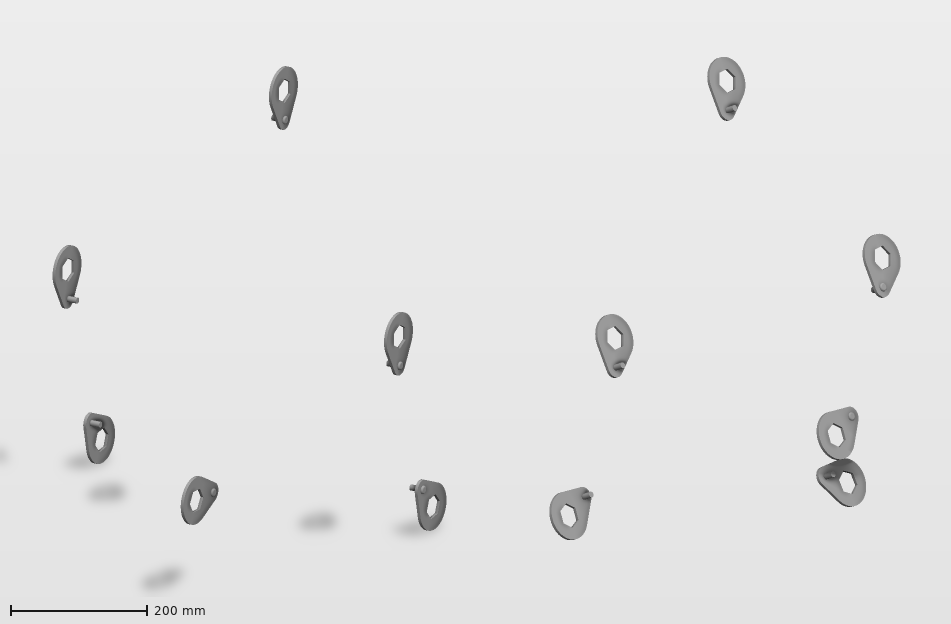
import cadquery as cq
import math

OVERALL_X = 585.5
OVERALL_Y = 500.0
OVERALL_Z = 743.0

PLATE_THICKNESS = 4.8
LEVER_LENGTH = 96.0
LARGE_RADIUS = 72.0 / 2
SMALL_RADIUS = 30.0 / 2
PIN_OFFSET = LEVER_LENGTH - LARGE_RADIUS - SMALL_RADIUS
HEX_ACROSS_FLATS = 32.0
HEX_ACROSS_CORNERS = HEX_ACROSS_FLATS / math.cos(math.radians(30))

LEVER_DEPTH = 24.0
PIN_DIAMETER = 9.0
HEAD_DIAMETER = 13.0
HEAD_HEIGHT = 3.0
HEAD_FILLET = 2.45
PIN_LENGTH = LEVER_DEPTH - HEAD_HEIGHT - PLATE_THICKNESS

OUTER_PLATE_X = OVERALL_X / 2 - HEAD_HEIGHT
INNER_PLATE_X = 149.5

EDGE_Y = OVERALL_Y / 2 - LARGE_RADIUS
EDGE_Z = OVERALL_Z / 2 - LARGE_RADIUS
UPPER_OUTER_Y = 122.0
UPPER_OUTER_Z = -46.0
TOP_INNER_Y = 28.0
LOW_INNER_Z = -230.0

PIN_DOWN = 0
PIN_TOWARDS_PLUS_Y = -90
PIN_UP_TILTED = 140


def lever_outline():
    """Teardrop outline with the small end below the origin."""
    tangent_sine = (LARGE_RADIUS - SMALL_RADIUS) / PIN_OFFSET
    tangent_cosine = math.sqrt(1 - tangent_sine**2)
    large_x = LARGE_RADIUS * tangent_cosine
    large_y = -LARGE_RADIUS * tangent_sine
    small_x = SMALL_RADIUS * tangent_cosine
    small_y = -PIN_OFFSET - SMALL_RADIUS * tangent_sine
    return (
        cq.Workplane("XY")
        .moveTo(large_x, large_y)
        .threePointArc((0, LARGE_RADIUS), (-large_x, large_y))
        .lineTo(-small_x, small_y)
        .threePointArc((0, -PIN_OFFSET - SMALL_RADIUS), (small_x, small_y))
        .close()
    )


def disk(diameter, bottom, height):
    """Round bar on the pin axis, rising from the given level."""
    return (
        cq.Workplane("XY", origin=(0, -PIN_OFFSET, bottom))
        .circle(diameter / 2)
        .extrude(height)
    )


def make_lever():
    """Lever with its head-side face at z = 0 and its pin rising towards +Z."""
    plate = lever_outline().extrude(PLATE_THICKNESS)
    hexagon = (
        cq.Workplane("XY")
        .polygon(6, HEX_ACROSS_CORNERS)
        .extrude(PLATE_THICKNESS)
        .rotate((0, 0, 0), (0, 0, 1), 90)
    )
    pin = disk(PIN_DIAMETER, PLATE_THICKNESS, PIN_LENGTH)
    head = disk(HEAD_DIAMETER, -HEAD_HEIGHT, HEAD_HEIGHT)
    rounded_head = head.edges("<Z").fillet(HEAD_FILLET)
    return plate.cut(hexagon).union(pin).union(rounded_head)


def place_lever(side, plate_x, y, z, pin_turn):
    """Stand a lever upright with its head facing outwards: side is +1 for +X, -1 for -X."""
    upright = make_lever().rotate((0, 0, 0), (1, 0, 0), 90)
    facing = upright.rotate((0, 0, 0), (0, 0, 1), -side * 90)
    turned = facing.rotate((0, 0, 0), (1, 0, 0), -pin_turn)
    return turned.translate((side * plate_x, y, z)).val()


outer_levers = []
for side in (-1, 1):
    outer_levers.append(place_lever(side, OUTER_PLATE_X, UPPER_OUTER_Y, UPPER_OUTER_Z, PIN_DOWN))
    outer_levers.append(place_lever(side, OUTER_PLATE_X, EDGE_Y, -EDGE_Z, PIN_UP_TILTED))

inner_levers = [
    place_lever(1, INNER_PLATE_X, TOP_INNER_Y, EDGE_Z, PIN_DOWN),
    place_lever(1, INNER_PLATE_X, -EDGE_Y, LOW_INNER_Z, PIN_TOWARDS_PLUS_Y),
]

result = cq.Compound.makeCompound(outer_levers + inner_levers)